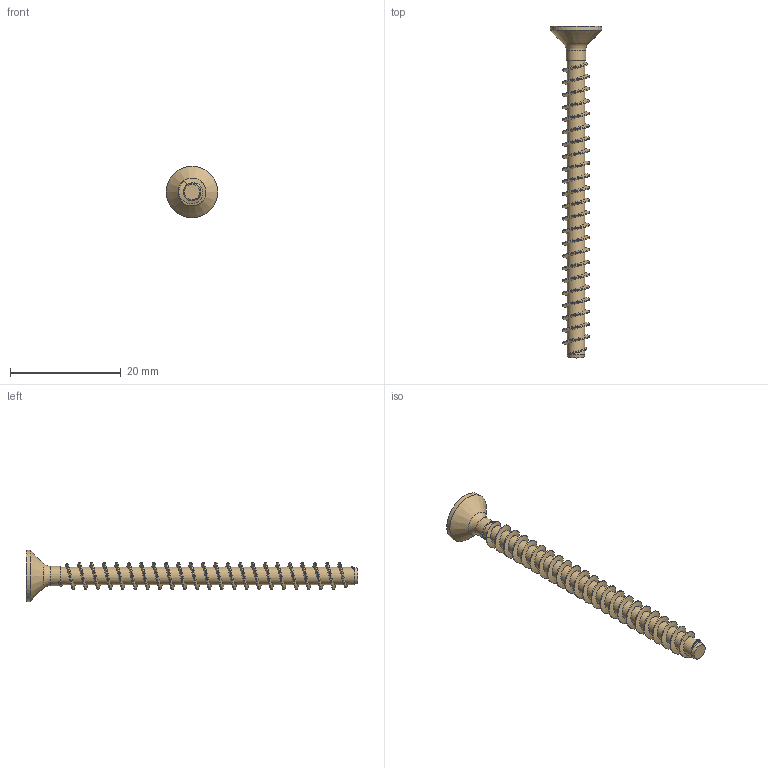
import cadquery as cq
import math


screw_length = 60.0
head_radius = 4.65
head_rim_height = 0.8
shank_radius = 1.75
shank_end_depth = 6.2
neck_fillet_radius = 1.8
countersink_angle = math.radians(45)

core_radius = 1.58
core_step_height = 0.1
tip_radius = 1.42
tip_taper_length = 0.6

pitch = 2.24
thread_radius = 2.5
crest_width = 0.15
root_width = 0.65
root_radius = 1.2
upper_runout_radius = 1.65
lower_runout_radius = 1.45
phase_depth = 9.08
upper_runout_start = 5.65
upper_runout_end = 7.9
lower_runout_start = 56.9
lower_runout_end = 59.6


def make_body():
    """Revolve the head, filleted neck, shank and tapered core as one outline."""
    fillet_center_radius = shank_radius + neck_fillet_radius
    cone_end_radius = fillet_center_radius - neck_fillet_radius * math.cos(countersink_angle)
    cone_height = (head_radius - cone_end_radius) / math.tan(countersink_angle)
    cone_end_depth = head_rim_height + cone_height
    neck_end_depth = cone_end_depth + neck_fillet_radius * math.sin(countersink_angle)

    half_angle = countersink_angle / 2
    fillet_middle = (
        fillet_center_radius - neck_fillet_radius * math.cos(half_angle),
        -neck_end_depth + neck_fillet_radius * math.sin(half_angle),
    )
    outline = (
        cq.Workplane("XZ")
        .moveTo(0, 0)
        .lineTo(head_radius, 0)
        .lineTo(head_radius, -head_rim_height)
        .lineTo(cone_end_radius, -cone_end_depth)
        .threePointArc(fillet_middle, (shank_radius, -neck_end_depth))
        .lineTo(shank_radius, -shank_end_depth)
        .lineTo(core_radius, -shank_end_depth - core_step_height)
        .lineTo(core_radius, -screw_length + tip_taper_length)
        .lineTo(tip_radius, -screw_length)
        .lineTo(0, -screw_length)
        .close()
    )
    return outline.revolve(360, (0, 0), (0, 1))


def helix(start_radius, end_radius, z_start, z_end, z_offset):
    """Helical edge rising from z_start to z_end, shifted along Z by z_offset."""
    height = z_end - z_start
    cone_angle = math.atan2(end_radius - start_radius, height)
    slant = 1 / math.cos(cone_angle)
    start_angle = 360 * (z_start + phase_depth) / pitch
    taper = {} if start_radius == end_radius else {"angle": math.degrees(cone_angle)}
    wire = cq.Wire.makeHelix(pitch * slant, height * slant, start_radius, **taper)
    wire = wire.rotate(cq.Vector(0, 0, 0), cq.Vector(0, 0, 1), start_angle)
    return wire.translate(cq.Vector(0, 0, z_start + z_offset)).Edges()[0]


def thread_edges(start_crest, end_crest, z_start, z_end):
    """The four helical corner edges of one stretch of thread, in profile order."""
    corners = (
        (root_radius, root_radius, -root_width / 2),
        (start_crest, end_crest, -crest_width / 2),
        (start_crest, end_crest, crest_width / 2),
        (root_radius, root_radius, root_width / 2),
    )
    return [helix(r0, r1, z_start, z_end, offset) for r0, r1, offset in corners]


def end_cap(edges, at_end):
    """Flat face closing the trapezoidal thread profile at one end."""
    points = [edge.endPoint() if at_end else edge.startPoint() for edge in edges]
    return cq.Face.makeFromWires(cq.Wire.makePolygon(points, close=True))


def make_thread():
    """Trapezoidal thread whose crest sinks into the shank and the tip."""
    stretches = [
        thread_edges(lower_runout_radius, thread_radius, -lower_runout_end, -lower_runout_start),
        thread_edges(thread_radius, thread_radius, -lower_runout_start, -upper_runout_end),
        thread_edges(thread_radius, upper_runout_radius, -upper_runout_end, -upper_runout_start),
    ]
    faces = [end_cap(stretches[0], False), end_cap(stretches[-1], True)]
    for edges in stretches:
        for edge, next_edge in zip(edges, edges[1:] + edges[:1]):
            faces.append(cq.Face.makeRuledSurface(edge, next_edge))
    shell = cq.Shell.makeShell(faces)
    return cq.Workplane(obj=cq.Solid.makeSolid(shell).fix())


screw = make_body().union(make_thread())
result = screw.rotate((0, 0, 0), (1, 0, 0), -90)